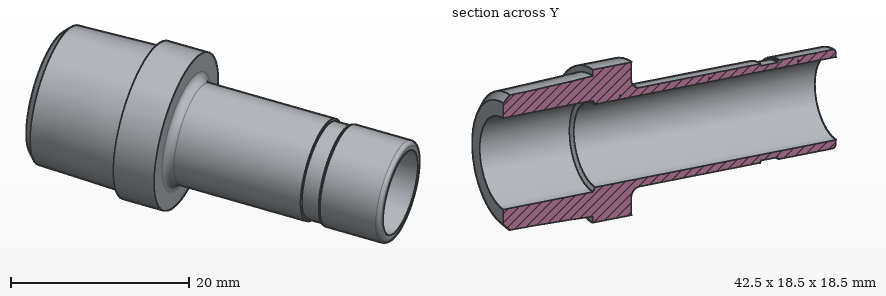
import cadquery as cq
import math

LENGTH = 42.5

GAUGE_X = 6.3
GAUGE_RADIUS = 8.35
TAPER_SLOPE = 1 / 32
LEAD_CHAMFER = 0.85

COLLAR_START = 11.45
COLLAR_WIDTH = 4.97
COLLAR_END = COLLAR_START + COLLAR_WIDTH
COLLAR_DIAMETER = 18.5
COLLAR_RADIUS = COLLAR_DIAMETER / 2

SHANK_RADIUS = 6.0
ROOT_FILLET = 1.0
TIP_ROUND = 0.5

GROOVE_RADIUS = 5.75
GROOVE_START = 32.85
GROOVE_WIDTH = 2.15
GROOVE_WALL_RUN = 0.1
GROOVE_LIP_WIDTH = 0.2
GROOVE_LIP_DROP = 0.1

WIDE_BORE_RADIUS = 5.5
NARROW_BORE_RADIUS = 4.97
BORE_STEP_ANGLE = 60.0
BORE_STEP_RUN = (WIDE_BORE_RADIUS - NARROW_BORE_RADIUS) / math.tan(math.radians(BORE_STEP_ANGLE))
BORE_STEP_START = COLLAR_START


def spigot_radius(x):
    """Radius of the tapered spigot at a distance x from the threaded end."""
    return GAUGE_RADIUS + TAPER_SLOPE * (x - GAUGE_X)


def revolve_about_axis(half_profile):
    return half_profile.close().revolve(360, (0, 0, 0), (1, 0, 0))


def fitting_body():
    """Spigot, collar and shank as one solid of revolution."""
    lead_radius = spigot_radius(LEAD_CHAMFER)
    half_profile = (
        cq.Workplane("XY")
        .moveTo(0, 0)
        .lineTo(0, lead_radius - LEAD_CHAMFER)
        .lineTo(LEAD_CHAMFER, lead_radius)
        .lineTo(COLLAR_START, spigot_radius(COLLAR_START))
        .lineTo(COLLAR_START, COLLAR_RADIUS)
        .lineTo(COLLAR_END, COLLAR_RADIUS)
        .lineTo(COLLAR_END, SHANK_RADIUS + ROOT_FILLET)
        .radiusArc((COLLAR_END + ROOT_FILLET, SHANK_RADIUS), -ROOT_FILLET)
        .lineTo(LENGTH - TIP_ROUND, SHANK_RADIUS)
        .radiusArc((LENGTH, SHANK_RADIUS - TIP_ROUND), TIP_ROUND)
        .lineTo(LENGTH, 0)
    )
    return revolve_about_axis(half_profile)


def shank_groove():
    """Ring of material removed by the groove."""
    groove_end = GROOVE_START + GROOVE_WIDTH
    half_profile = (
        cq.Workplane("XY")
        .moveTo(GROOVE_START, SHANK_RADIUS)
        .lineTo(GROOVE_START + GROOVE_WALL_RUN, GROOVE_RADIUS)
        .lineTo(groove_end, GROOVE_RADIUS)
        .lineTo(groove_end, SHANK_RADIUS - GROOVE_LIP_DROP)
        .lineTo(groove_end + GROOVE_LIP_WIDTH, SHANK_RADIUS)
    )
    return revolve_about_axis(half_profile)


def stepped_bore():
    """Through bore with a conical step."""
    half_profile = (
        cq.Workplane("XY")
        .moveTo(0, 0)
        .lineTo(0, WIDE_BORE_RADIUS)
        .lineTo(BORE_STEP_START, WIDE_BORE_RADIUS)
        .lineTo(BORE_STEP_START + BORE_STEP_RUN, NARROW_BORE_RADIUS)
        .lineTo(LENGTH, NARROW_BORE_RADIUS)
        .lineTo(LENGTH, 0)
    )
    return revolve_about_axis(half_profile)


result = fitting_body().cut(shank_groove()).cut(stepped_bore())